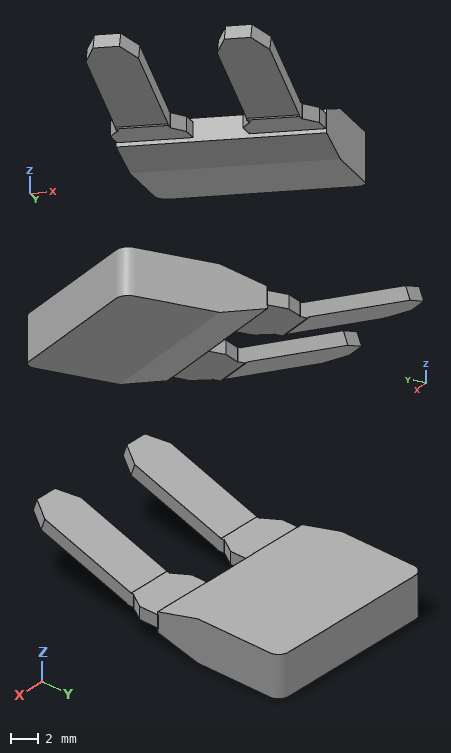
import cadquery as cq
import math

body_width = 15.95
body_length = 11.9
body_height = 3.85
flat_length = 8.0
nose_height = 1.8
corner_radius = 1.0

overall_length = 25.82
overall_height = 5.96
blade_pitch = 9.95
blade_thickness = 1.15
blade_width = 4.0
tip_width = blade_width / 2
tip_length = 1.75
bend_angle = 18.9
shoulder_width = 5.78
shoulder_straight = 1.8
shoulder_taper = 1.4
shoulder_offset = 0.05
bend_top_start = 15.4
bend_bottom_start = 15.78
bend_facet_length = 0.08

nose_y = -body_length
tip_y = -overall_length
half_thickness = blade_thickness / 2
slope = math.radians(bend_angle)
tip_top_z = overall_height - body_height / 2
tip_top_y = tip_y + blade_thickness * math.sin(slope)
tip_bottom_z = tip_top_z - blade_thickness * math.cos(slope)
shoulder_taper_start_y = nose_y - shoulder_straight
shoulder_end_y = shoulder_taper_start_y - shoulder_taper


def make_housing():
    """Flat block narrowing in height towards the blade side."""
    half_height = body_height / 2
    half_nose = nose_height / 2
    profile = [
        (0, -half_height),
        (0, half_height),
        (-flat_length, half_height),
        (nose_y, half_nose),
        (nose_y, -half_nose),
        (-flat_length, -half_height),
    ]
    block = cq.Workplane("YZ").polyline(profile).close().extrude(body_width / 2, both=True)
    return block.faces(">Y").edges("|Z").fillet(corner_radius)


def make_shoulder():
    """Wide root of a blade, tapering to the blade width."""
    half_root = shoulder_width / 2
    half_blade = blade_width / 2
    outline = [
        (-half_root, nose_y),
        (-half_root, shoulder_taper_start_y),
        (-half_blade, shoulder_end_y),
        (half_blade, shoulder_end_y),
        (half_root, shoulder_taper_start_y),
        (half_root, nose_y),
    ]
    return cq.Workplane("XY").polyline(outline).close().extrude(half_thickness, both=True)


def make_blade():
    """Bent strip with its free end narrowed by two slanted cuts."""
    top_facet_end_y = -bend_top_start - bend_facet_length
    bottom_facet_end_y = -bend_bottom_start - bend_facet_length
    top_facet_end_z = tip_top_z - (top_facet_end_y - tip_top_y) * math.tan(slope)
    bottom_facet_end_z = tip_bottom_z - (bottom_facet_end_y - tip_y) * math.tan(slope)
    profile = [
        (shoulder_end_y, -half_thickness),
        (shoulder_end_y, half_thickness),
        (-bend_top_start, half_thickness),
        (top_facet_end_y, top_facet_end_z),
        (tip_top_y, tip_top_z),
        (tip_y, tip_bottom_z),
        (bottom_facet_end_y, bottom_facet_end_z),
        (-bend_bottom_start, -half_thickness),
    ]
    strip = cq.Workplane("YZ").polyline(profile).close().extrude(blade_width / 2, both=True)

    blade_plane = cq.Plane(
        origin=(0, tip_top_y, tip_top_z),
        xDir=(1, 0, 0),
        normal=(0, math.sin(slope), math.cos(slope)),
    )
    for side in (-1, 1):
        corner = [
            (side * tip_width / 2, 0),
            (side * blade_width / 2, 0),
            (side * blade_width / 2, tip_length),
        ]
        cutter = cq.Workplane(blade_plane).polyline(corner).close().extrude(-blade_thickness)
        strip = strip.cut(cutter)
    return strip


result = make_housing()
shoulder = make_shoulder()
blade = make_blade()
for side in (-1, 1):
    blade_x = side * blade_pitch / 2
    shoulder_x = blade_x + side * shoulder_offset
    result = result.union(shoulder.translate((shoulder_x, 0, 0)))
    result = result.union(blade.translate((blade_x, 0, 0)))